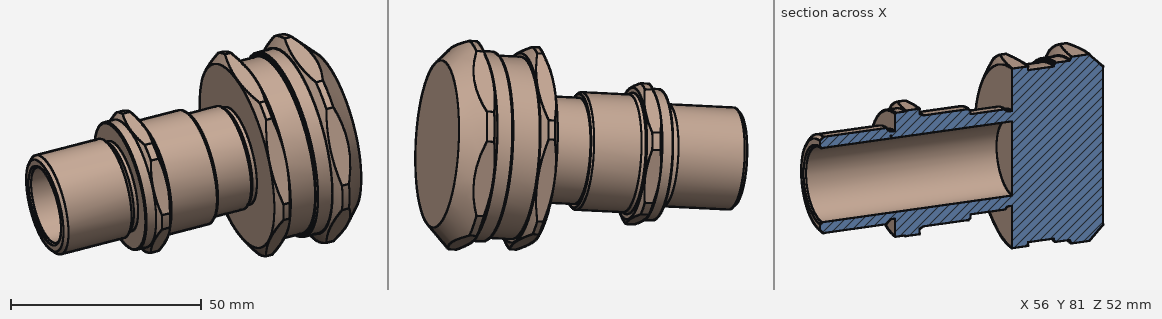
import cadquery as cq
import math


CORNER_BEVEL_ANGLE = math.radians(30)
CLAMP_FLATS = 52.0
CLAMP_CORNERS = 56.0
BODY_FLATS = 50.0
BODY_CORNERS = 55.0
BODY_FACE_DIA = 49.8
ENTRY_FLATS = 35.0
ENTRY_CORNERS = 38.0

CLAMP_BACK_DIA = 44.0
CLAMP_FRONT_DIA = 50.4
RING_DIA = 50.0
BODY_BARREL_DIA = 48.0
SPIGOT_NECK_DIA = 26.5
SPIGOT_DIA = 28.0
SLEEVE_DIA = 31.0
SLEEVE_FLARE_DIA = 32.0
COLLAR_DIA = 34.6
THREAD_NECK_DIA = 24.5
THREAD_DIA = 26.9
BORE_DIA = 20.5

CLAMP_BAND_END = 8.0
RING_END = 14.1
BODY_BARREL_END = 21.4
BODY_HEX_END = 26.1
SPIGOT_NECK_END = 27.35
SPIGOT_END = 37.9
SLEEVE_END = 51.4
ENTRY_HEX_START = 52.4
ENTRY_HEX_END = 56.6
COLLAR_END = 59.6
THREAD_NECK_END = 60.8
TOTAL_LENGTH = 81.0

RING_CHAMFER = 0.45
SLEEVE_CHAMFER = 0.6
COLLAR_CHAMFER = 0.25
THREAD_CHAMFER = 1.0
BORE_CHAMFER = 0.5


def turned(profile):
    """Revolve (diameter, distance from the back) points about the Y axis."""
    outline = [(diameter / 2, -distance) for diameter, distance in profile]
    outline.insert(0, (0, outline[0][1]))
    outline.append((0, outline[-1][1]))
    return cq.Workplane("XY").polyline(outline).close().revolve(360, (0, 0, 0), (0, 1, 0))


def hexagon(flats, start, end):
    """Hexagonal prism along Y with two flats facing +Z and -Z."""
    across_corners = flats / math.cos(math.pi / 6)
    plane = cq.Workplane("XZ", origin=(0, -start, 0))
    return plane.polygon(6, across_corners).extrude(end - start)


def bevel_length(corner_dia, face_dia):
    """Axial length of a corner bevel running from corner_dia to face_dia."""
    return (corner_dia - face_dia) / 2 * math.tan(CORNER_BEVEL_ANGLE)


def bevelled_hexagon(flats, corners, face_dia, start, end):
    """Hexagon with the corners bevelled alike at both ends."""
    bevel = bevel_length(corners, face_dia)
    envelope = turned([
        (face_dia, start),
        (corners, start + bevel),
        (corners, end - bevel),
        (face_dia, end),
    ])
    return hexagon(flats, start, end).intersect(envelope)


clamp_end = CLAMP_BAND_END + bevel_length(CLAMP_CORNERS, CLAMP_FRONT_DIA)


def clamping_nut():
    """Large back nut: 45 degree cone behind, corner bevel in front."""
    cone_length = (CLAMP_CORNERS - CLAMP_BACK_DIA) / 2
    envelope = turned([
        (CLAMP_BACK_DIA, 0),
        (CLAMP_CORNERS, cone_length),
        (CLAMP_CORNERS, CLAMP_BAND_END),
        (CLAMP_FRONT_DIA, clamp_end),
    ])
    return hexagon(CLAMP_FLATS, 0, clamp_end).intersect(envelope)


def body_barrel():
    """Ring in front of the clamping nut and the barrel up to the body hexagon."""
    return turned([
        (RING_DIA, clamp_end),
        (RING_DIA, RING_END - RING_CHAMFER),
        (RING_DIA - 2 * RING_CHAMFER, RING_END),
        (BODY_BARREL_DIA, RING_END),
        (BODY_BARREL_DIA, BODY_BARREL_END),
    ])


def spigot_and_sleeve():
    """Necked spigot, then the wider sleeve flaring out to the entry hexagon."""
    spigot_start = SPIGOT_NECK_END + (SPIGOT_DIA - SPIGOT_NECK_DIA) / 2
    return turned([
        (SPIGOT_NECK_DIA, BODY_HEX_END),
        (SPIGOT_NECK_DIA, SPIGOT_NECK_END),
        (SPIGOT_DIA, spigot_start),
        (SPIGOT_DIA, SPIGOT_END),
        (SLEEVE_DIA - 2 * SLEEVE_CHAMFER, SPIGOT_END),
        (SLEEVE_DIA, SPIGOT_END + SLEEVE_CHAMFER),
        (SLEEVE_DIA, SLEEVE_END),
        (SLEEVE_FLARE_DIA, ENTRY_HEX_START),
    ])


def entry_thread():
    """Collar, undercut neck and plain thread cylinder at the front end."""
    thread_start = THREAD_NECK_END + (THREAD_DIA - THREAD_NECK_DIA) / 2
    return turned([
        (COLLAR_DIA, ENTRY_HEX_END),
        (COLLAR_DIA, COLLAR_END - COLLAR_CHAMFER),
        (COLLAR_DIA - 2 * COLLAR_CHAMFER, COLLAR_END),
        (THREAD_NECK_DIA, COLLAR_END),
        (THREAD_NECK_DIA, THREAD_NECK_END),
        (THREAD_DIA, thread_start),
        (THREAD_DIA, TOTAL_LENGTH - THREAD_CHAMFER),
        (THREAD_DIA - 2 * THREAD_CHAMFER, TOTAL_LENGTH),
    ])


def blind_bore():
    """Bore open at the front, with a chamfered mouth, ending at the body hexagon."""
    return turned([
        (BORE_DIA, BODY_HEX_END),
        (BORE_DIA, TOTAL_LENGTH - BORE_CHAMFER),
        (BORE_DIA + 2 * BORE_CHAMFER, TOTAL_LENGTH),
    ])


body_hexagon = bevelled_hexagon(
    BODY_FLATS, BODY_CORNERS, BODY_FACE_DIA, BODY_BARREL_END, BODY_HEX_END
)
entry_hexagon = bevelled_hexagon(
    ENTRY_FLATS, ENTRY_CORNERS, COLLAR_DIA, ENTRY_HEX_START, ENTRY_HEX_END
)

result = (
    clamping_nut()
    .union(body_barrel())
    .union(body_hexagon)
    .union(spigot_and_sleeve())
    .union(entry_hexagon)
    .union(entry_thread())
    .cut(blind_bore())
)